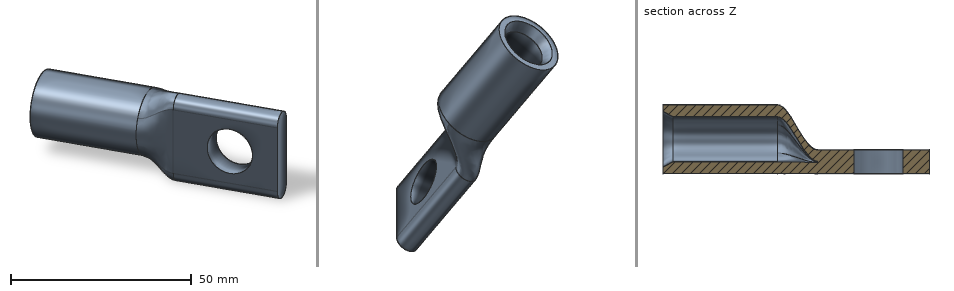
import cadquery as cq
import math

TOTAL_LENGTH = 73.91
BARREL_DIAMETER = 19.2
BARREL_LENGTH = 31.7
NECK_LENGTH = 11.1

BORE_DIAMETER = 12.4
BORE_MOUTH_DIAMETER = 15.45
BORE_MOUTH_DEPTH = 2.8

PALM_WIDTH = 26.16
PALM_THICKNESS = 6.7
HOLE_DIAMETER = 13.5
HOLE_FROM_PALM_END = 14.2

CAVITY_END_THICKNESS = 0.2

FRONT_UPPER_ANGLE = 29
FRONT_LOWER_ANGLE = -52
BACK_ANGLE = 130

NECK_STEPS = 6
SECTION_EDGES = 4
EDGE_POINTS = 9

BARREL_RADIUS = BARREL_DIAMETER / 2
NECK_END = BARREL_LENGTH + NECK_LENGTH
PALM_LENGTH = TOTAL_LENGTH - NECK_END
PALM_CENTER_Y = -BARREL_RADIUS + PALM_THICKNESS / 2
FLAT_HALF_WIDTH = (PALM_WIDTH - PALM_THICKNESS) / 2


def mix(start, end, fraction):
    return start + (end - start) * fraction


def slot_point(edge, fraction, radius):
    """(y, z) on a slot: edge 0 front flat, 1 upper round, 2 back flat, 3 lower round."""
    if edge == 0:
        return PALM_CENTER_Y - radius, mix(-FLAT_HALF_WIDTH, FLAT_HALF_WIDTH, fraction)
    if edge == 2:
        return PALM_CENTER_Y + radius, mix(FLAT_HALF_WIDTH, -FLAT_HALF_WIDTH, fraction)
    side = 1 if edge == 1 else -1
    swing = math.pi * fraction
    y = PALM_CENTER_Y - side * radius * math.cos(swing)
    z = side * (FLAT_HALF_WIDTH + radius * math.sin(swing))
    return y, z


def circle_point(edge, fraction, radius):
    """(y, z) on the circle arc that corresponds to the given slot edge."""
    corners = [
        FRONT_LOWER_ANGLE,
        FRONT_UPPER_ANGLE,
        BACK_ANGLE,
        360 - BACK_ANGLE,
        360 + FRONT_LOWER_ANGLE,
    ]
    angle = math.radians(mix(corners[edge], corners[edge + 1], fraction))
    return -radius * math.cos(angle), radius * math.sin(angle)


def neck_section(step, circle_radius, slot_radius):
    """Closed wire across the neck, part way between the circle and the slot."""
    progress = step / NECK_STEPS
    blend = progress ** 2 * (3 - 2 * progress)
    x = BARREL_LENGTH + NECK_LENGTH * progress
    edges = []
    for edge in range(SECTION_EDGES):
        points = []
        for index in range(EDGE_POINTS):
            fraction = index / (EDGE_POINTS - 1)
            circle_y, circle_z = circle_point(edge, fraction, circle_radius)
            slot_y, slot_z = slot_point(edge, fraction, slot_radius)
            y = mix(circle_y, slot_y, blend)
            z = mix(circle_z, slot_z, blend)
            points.append(cq.Vector(x, y, z))
        edges.append(cq.Edge.makeSpline(points))
    return cq.Wire.assembleEdges(edges)


def neck(circle_radius, slot_radius):
    sections = [neck_section(step, circle_radius, slot_radius) for step in range(NECK_STEPS + 1)]
    return cq.Workplane(cq.Solid.makeLoft(sections))


def barrel():
    return cq.Workplane("YZ").circle(BARREL_RADIUS).extrude(BARREL_LENGTH)


def palm():
    return (
        cq.Workplane("YZ", origin=(NECK_END, PALM_CENTER_Y, 0))
        .slot2D(PALM_WIDTH, PALM_THICKNESS, 90)
        .extrude(PALM_LENGTH)
    )


def bore():
    """Straight bore with a conical mouth, revolved about the barrel axis."""
    return (
        cq.Workplane("XY")
        .polyline([
            (0, 0),
            (0, BORE_MOUTH_DIAMETER / 2),
            (BORE_MOUTH_DEPTH, BORE_DIAMETER / 2),
            (BARREL_LENGTH, BORE_DIAMETER / 2),
            (BARREL_LENGTH, 0),
        ])
        .close()
        .revolve(360, (0, 0, 0), (1, 0, 0))
    )


def bolt_hole():
    return (
        cq.Workplane("XZ", origin=(TOTAL_LENGTH - HOLE_FROM_PALM_END, 0, 0))
        .circle(HOLE_DIAMETER / 2)
        .extrude(BARREL_DIAMETER, both=True)
    )


body = barrel().union(neck(BARREL_RADIUS, PALM_THICKNESS / 2)).union(palm())
cavity = bore().union(neck(BORE_DIAMETER / 2, CAVITY_END_THICKNESS / 2))
result = body.cut(cavity).cut(bolt_hole())